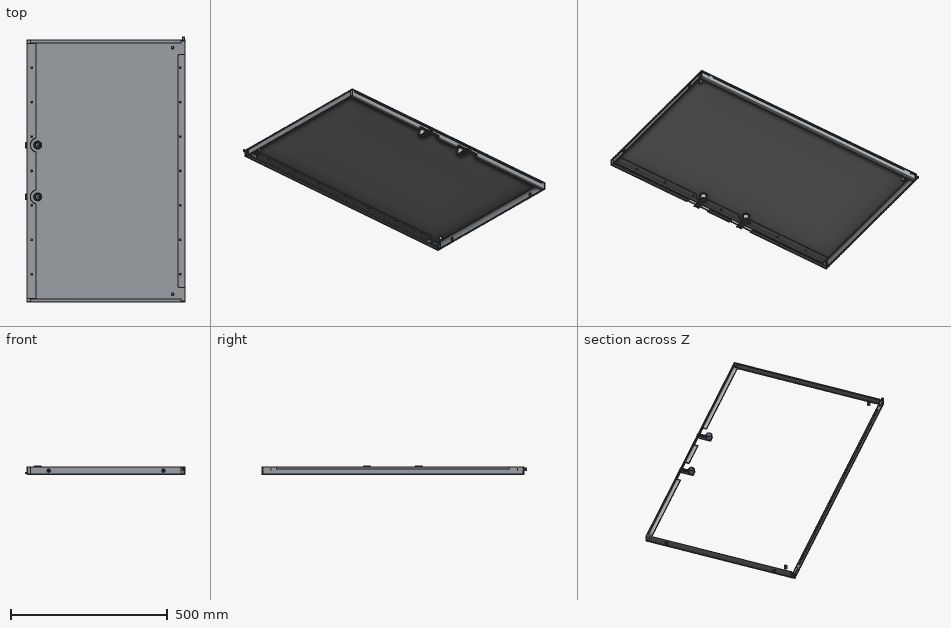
import cadquery as cq
import math

panel_width = 506.0
panel_length = 837.5
panel_height = 24.0
sheet = 1.5
bend_radius = 2.2
panel_left = -250.5
panel_right = panel_left + panel_width
panel_front = -423.0
panel_back = panel_front + panel_length
panel_mid_y = (panel_front + panel_back) / 2
skin_underside = panel_height - sheet
left_return = 11.5
right_return = 14.0
opening_left = panel_left + left_return
opening_right = panel_right - right_return

stud_diameter = 8.0
stud_length = 12.0
stud_inset = 40.5
stud_x = panel_right - stud_inset
stud_spacing = 788.0

wall_hole_diameter = 10.0
wall_hole_inset = 70.0
wall_hole_z = 11.5

hinge_notch_top = 21.0

angle_radius = 4.0
end_gap = 0.8
end_leg_inset = 10.0
end_leg = end_leg_inset - sheet - end_gap
end_screw_diameter = 4.0
hinge_tab_clearance = 1.0
hinge_tab_top = 22.0
side_gap = 0.5
left_strip_width = 26.5
left_strip_end_inset = 12.0
left_strip_length = panel_length - 2 * left_strip_end_inset
right_strip_width = 21.0
right_strip_length = 743.0
strip_bottom = 17.5
strip_corner_chamfer = 3.0
weld_hole_diameter = 5.0
weld_hole_count = 7
weld_hole_pitch = 110.0
left_weld_inset = 15.5
right_weld_inset = 16.0
left_weld_x = panel_left + left_weld_inset
right_weld_x = panel_right - right_weld_inset

lock_inset = 34.5
lock_x = panel_left + lock_inset
lock_spacing = 165.5
lock_ys = [panel_mid_y - lock_spacing / 2, panel_mid_y + lock_spacing / 2]
lock_clearance_radius = 23.0
cap_base_radius = 12.5
cap_top_radius = 9.0
cap_height = 2.5
key_recess_radius = 7.0
key_recess_depth = 1.5
key_bar_length = 9.0
key_bar_width = 1.5
barrel_radius = 9.0
cam_reach = 5.0
cam_flat_width = 6.0
cam_slope_width = 5.6
cam_slope_angle = 18.3
cam_thickness = 1.8
cam_top = 5.8
slot_length = 81.5
slot_top = 6.5

pin_diameter = 7.0
pin_length = 30.0
pin_inset = 5.5
pin_x = panel_right - pin_inset
pin_z = 16.0
back_pin_reach = 8.5


def box(x0, x1, y0, y1, z0, z1):
    """A block between two opposite corners."""
    return cq.Workplane("XY").box(x1 - x0, y1 - y0, z1 - z0, centered=False).translate((x0, y0, z0))


def wall_cylinder(x, z, diameter, y0, y1):
    """A cylinder lying along Y from y0 to y1."""
    return cq.Workplane("XZ", origin=(x, y0, z)).circle(diameter / 2).extrude(y0 - y1)


def wall_hole_xs():
    """X places of the two holes in the front wall."""
    return [panel_left + wall_hole_inset, panel_right - wall_hole_inset]


def cam_slots():
    """Cutters for the gaps in the left wall that the lock cams reach through."""
    slots = cq.Workplane("XY")
    for y in lock_ys:
        slots = slots.add(
            box(panel_left, opening_left, y - slot_length / 2, y + slot_length / 2, 0, slot_top)
        )
    return slots.combine()


def make_panel():
    outer = box(panel_left, panel_right, panel_front, panel_back, 0, panel_height)
    outer = outer.edges("|Y or >Z").fillet(bend_radius)
    inner_front = panel_front + sheet
    inner_back = panel_back - sheet
    cavity = box(
        panel_left + sheet, panel_right - sheet, inner_front, inner_back, sheet, skin_underside
    )
    cavity = cavity.edges("|Y or >Z").fillet(bend_radius - sheet)
    opening = box(opening_left, opening_right, inner_front, inner_back, 0, panel_height / 2)
    panel = outer.cut(cavity).cut(opening).cut(cam_slots())
    for x in wall_hole_xs():
        panel = panel.cut(wall_cylinder(x, wall_hole_z, wall_hole_diameter, panel_front, inner_front))
    hinge_left = opening_right
    hinge_right = panel_right - sheet
    panel = panel.cut(box(hinge_left, hinge_right, panel_front, inner_front, sheet, hinge_notch_top))
    panel = panel.cut(box(hinge_left, hinge_right, inner_back, panel_back, sheet, hinge_notch_top))
    for y in lock_ys:
        barrel_hole = cq.Workplane("XY", origin=(lock_x, y, skin_underside)).circle(barrel_radius)
        panel = panel.cut(barrel_hole.extrude(sheet))
    for side in (-1, 1):
        stud_top = (stud_x, panel_mid_y + side * stud_spacing / 2, skin_underside)
        stud = cq.Workplane("XY", origin=stud_top).circle(stud_diameter / 2).extrude(-stud_length)
        panel = panel.union(stud)
    return panel


def make_angle(width, length, bottom):
    """An angle along Y, centred there, with its heel at x = 0 under the skin and its flat leg toward +X."""
    block = box(0, width, -length / 2, length / 2, bottom, skin_underside)
    block = block.edges("|Y and <X and >Z").fillet(angle_radius)
    hollow = box(sheet, width, -length / 2, length / 2, bottom, skin_underside - sheet)
    hollow = hollow.edges("|Y and <X and >Z").fillet(angle_radius - sheet)
    return block.cut(hollow)


def weld_holes(x):
    """Cutters for the row of holes along a side stiffener."""
    return (
        cq.Workplane("XY", origin=(x, panel_mid_y, skin_underside - sheet))
        .rarray(1, weld_hole_pitch, 1, weld_hole_count)
        .circle(weld_hole_diameter / 2)
        .extrude(sheet)
    )


def make_left_stiffener():
    strip = make_angle(left_strip_width, left_strip_length, strip_bottom)
    strip = strip.translate((panel_left + sheet + side_gap, panel_mid_y, 0))
    strip = strip.cut(weld_holes(left_weld_x))
    for y in lock_ys:
        clearance = cq.Workplane("XY", origin=(lock_x, y, 0)).circle(lock_clearance_radius)
        strip = strip.cut(clearance.extrude(panel_height))
    return strip


def make_right_stiffener():
    strip = make_angle(right_strip_width, right_strip_length, strip_bottom)
    strip = strip.edges("|Z and >X").chamfer(strip_corner_chamfer)
    strip = strip.rotate((0, 0, 0), (0, 0, 1), 180)
    strip = strip.translate((panel_right - sheet - side_gap, panel_mid_y, 0))
    return strip.cut(weld_holes(right_weld_x))


def make_end_stiffener(side):
    """The angle lining the front (side = -1) or back (side = 1) wall, with a tab that holds a hinge pin."""
    strip = make_angle(end_leg, opening_right - opening_left, 0)
    outer_y = panel_mid_y + side * (panel_length / 2 - sheet - end_gap)
    inner_y = outer_y - side * sheet
    strip = strip.rotate((0, 0, 0), (0, 0, 1), -90 * side)
    strip = strip.translate(((opening_left + opening_right) / 2, outer_y, 0))
    tab_right = panel_right - sheet - hinge_tab_clearance
    web_ys = sorted([inner_y, outer_y])
    strip = strip.union(box(opening_right, tab_right, *web_ys, sheet, hinge_tab_top))
    return strip.cut(wall_cylinder(pin_x, pin_z, pin_diameter, inner_y, outer_y))


def make_front_stiffener():
    strip = make_end_stiffener(-1)
    web_front = panel_front + sheet + end_gap
    for x in wall_hole_xs():
        strip = strip.cut(wall_cylinder(x, wall_hole_z, end_screw_diameter, web_front, web_front + sheet))
    return strip


def make_lock(y):
    """A lock: conical cap with a key recess, barrel, and a cam reaching out through the left wall."""
    origin = (lock_x, y, panel_height)
    cap_slope = math.degrees(math.atan((cap_base_radius - cap_top_radius) / cap_height))
    cap = cq.Workplane("XY", origin=origin).circle(cap_base_radius).extrude(cap_height, taper=cap_slope)
    barrel = cq.Workplane("XY", origin=origin).circle(barrel_radius)
    barrel = barrel.extrude(cam_top - cam_thickness - panel_height)
    recess = (
        cq.Workplane("XY", origin=origin).workplane(offset=cap_height)
        .circle(key_recess_radius).extrude(-key_recess_depth)
    )
    key_bar = box(
        lock_x, lock_x + key_bar_length, y - key_bar_width / 2, y + key_bar_width / 2,
        panel_height, panel_height + cap_height,
    )
    key_bar = key_bar.intersect(recess)
    flat = cam_flat_width / 2
    edge = flat + cam_slope_width
    drop = cam_slope_width * math.tan(math.radians(cam_slope_angle))
    upper = [(-edge, cam_top - drop), (-flat, cam_top), (flat, cam_top), (edge, cam_top - drop)]
    lower = [(across, z - cam_thickness) for across, z in reversed(upper)]
    cam_tip = panel_left - cam_reach
    cam = (
        cq.Workplane("YZ", origin=(cam_tip, y, 0))
        .polyline(upper + lower).close().extrude(lock_x + barrel_radius - cam_tip)
    )
    return cap.cut(recess).union(key_bar).union(barrel).union(cam)


def make_pin(tip_y, side):
    """A hinge pin reaching inward from its tip; side is -1 at the front and 1 at the back."""
    return wall_cylinder(pin_x, pin_z, pin_diameter, tip_y, tip_y - side * pin_length)


panel = make_panel()
left_stiffener = make_left_stiffener()
right_stiffener = make_right_stiffener()
front_stiffener = make_front_stiffener()
back_stiffener = make_end_stiffener(1)
locks = [make_lock(y) for y in lock_ys]
pins = [make_pin(panel_front, -1), make_pin(panel_back + back_pin_reach, 1)]

result = cq.Compound.makeCompound([
    panel.val(),
    left_stiffener.val(),
    right_stiffener.val(),
    front_stiffener.val(),
    back_stiffener.val(),
    *[lock.val() for lock in locks],
    *[pin.val() for pin in pins],
])